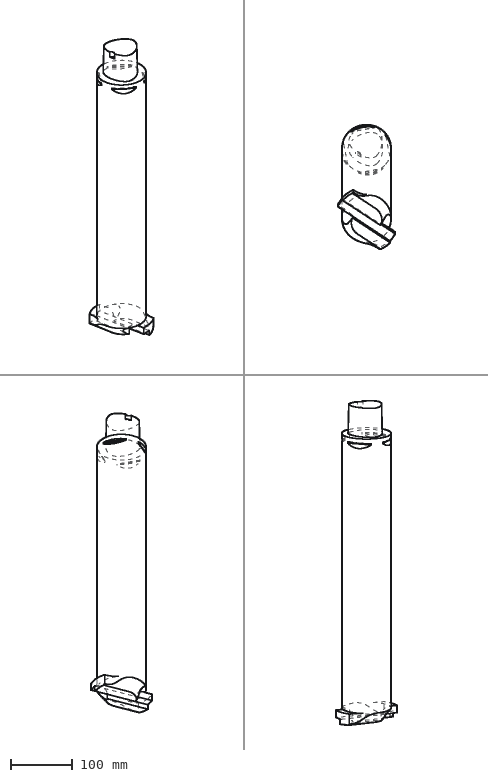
import cadquery as cq
import math

total_height = 526.0
shank_length = 48.0
shoulder_z = total_height - shank_length
body_diameter = 80.0
body_radius = body_diameter / 2

head_height = 22.0
head_half_span = 51.5
slot_half_width = 7.5
slot_depth = 10.0
wing_outer_y = 27.5
wing_tip_radius = math.hypot(head_half_span, slot_half_width)
flank_end_y = 26.0
flank_end_z = 3.0
short_side_lift = 1.5
wing_blend_x = 22.5

pocket_x = 22.0
pocket_arc_radius = 13.0

shank_base_radius = 28.0
shank_top_radius = 27.0
lobe_height = 2.0
shank_outline_points = 36
notch_radius = 6.0
notch_height = 9.0
notch_inset = 3.0

grip_count = 4
grip_top_offset = 8.0
grip_bottom_offset = 16.5
grip_inner_wall = 2.0
grip_depth = 5.0

clearance = 10.5


def half_turn(shape):
    """Rotate a shape by 180 degrees about the part axis."""
    return shape.rotate((0, 0, 0), (0, 0, 1), 180)


def shank_section(mean_radius):
    """Rounded three-lobed outline, one lobe on +Y, given by its support function."""
    points = []
    for i in range(shank_outline_points):
        angle = 2 * math.pi * i / shank_outline_points
        support = mean_radius - lobe_height * math.sin(3 * angle)
        slope = -3 * lobe_height * math.cos(3 * angle)
        x = support * math.cos(angle) - slope * math.sin(angle)
        y = support * math.sin(angle) + slope * math.cos(angle)
        points.append((x, y))
    return points


def make_shank():
    shank = (
        cq.Workplane("XY", origin=(0, 0, shoulder_z))
        .spline(shank_section(shank_base_radius), periodic=True).close()
        .workplane(offset=shank_length)
        .spline(shank_section(shank_top_radius), periodic=True).close()
        .loft(combine=True)
    )
    flat_y = -(shank_top_radius - lobe_height)
    notch_center_y = flat_y + notch_inset - notch_radius
    notch = (
        cq.Workplane("XY", origin=(0, notch_center_y, total_height - notch_height))
        .circle(notch_radius)
        .extrude(notch_height + clearance)
    )
    return shank.cut(notch)


def make_wing():
    """Wing on +X with a tip that is flat, then arced, and a blend tangent to the body."""
    blend_y = math.sqrt(body_radius**2 - wing_blend_x**2)
    body_tangent_angle = math.atan2(wing_blend_x, blend_y)
    wall_inner_x = wing_blend_x + (blend_y - wing_outer_y) / math.tan(body_tangent_angle / 2)
    tip_corner_x = math.sqrt(wing_tip_radius**2 - wing_outer_y**2)
    arc_start_angle = math.atan2(slot_half_width, head_half_span)
    arc_end_angle = math.atan2(wing_outer_y, tip_corner_x)
    tip_angle = (arc_start_angle + arc_end_angle) / 2
    tip_middle = (wing_tip_radius * math.cos(tip_angle), wing_tip_radius * math.sin(tip_angle))
    return (
        cq.Workplane("XY")
        .moveTo(0, -slot_half_width)
        .lineTo(head_half_span, -slot_half_width)
        .lineTo(head_half_span, slot_half_width)
        .threePointArc(tip_middle, (tip_corner_x, wing_outer_y))
        .lineTo(wall_inner_x, wing_outer_y)
        .tangentArcPoint((wing_blend_x, blend_y), relative=False)
        .lineTo(0, blend_y)
        .close()
        .extrude(head_height)
    )


def make_flank_envelope():
    """Prism along X whose sloping sides shape the flanks of the head."""
    return (
        cq.Workplane("YZ")
        .polyline([
            (-body_radius, head_height),
            (-flank_end_y, flank_end_z),
            (-slot_half_width, 0),
            (slot_half_width, short_side_lift),
            (flank_end_y, flank_end_z),
            (body_radius, head_height),
        ])
        .close()
        .extrude(head_half_span + clearance, both=True)
    )


def make_flank_cone_cutter():
    """Removes the stock outside a cone in the quadrant +X, -Y."""
    bottom_radius = flank_end_y - flank_end_z * (body_radius - flank_end_y) / (head_height - flank_end_z)
    cone = (
        cq.Workplane("XZ")
        .polyline([(0, 0), (bottom_radius, 0), (body_radius, head_height), (0, head_height)])
        .close()
        .revolve(360, (0, 0, 0), (0, 1, 0))
    )
    width = body_radius + clearance
    quadrant = (
        cq.Workplane("XY", origin=(0, -slot_half_width, 0))
        .rect(width, -width, centered=False)
        .extrude(head_height)
    )
    return quadrant.cut(cone)


def make_chip_pocket():
    """Pocket in the quadrant +X, -Y with a wall that curves outward at the top."""
    arc_start_z = head_height - pocket_arc_radius
    outer_x = head_half_span + clearance
    return (
        cq.Workplane("XZ", origin=(0, -slot_half_width, 0))
        .moveTo(pocket_x, -clearance)
        .lineTo(pocket_x, arc_start_z)
        .radiusArc((pocket_x + pocket_arc_radius, head_height), pocket_arc_radius)
        .lineTo(outer_x, head_height)
        .lineTo(outer_x, -clearance)
        .close()
        .extrude(body_radius + clearance)
    )


def make_head():
    wing = make_wing()
    core = cq.Workplane("XY").circle(body_radius).extrude(head_height)
    head = core.union(wing).union(half_turn(wing)).intersect(make_flank_envelope())
    for cutter in (make_flank_cone_cutter(), make_chip_pocket()):
        head = head.cut(cutter).cut(half_turn(cutter))
    slot = cq.Workplane("XY").box(
        2 * (head_half_span + clearance), 2 * slot_half_width, slot_depth,
        centered=(True, True, False),
    )
    return head.cut(slot)


def make_grip_notch(angle):
    """Straight notch with a flat ceiling and a floor sloping down and outward."""
    inner_x = body_radius - grip_depth
    outer_x = body_radius
    top_z = shoulder_z - grip_top_offset
    notch = (
        cq.Workplane("XZ")
        .polyline([
            (inner_x, top_z),
            (outer_x, top_z),
            (outer_x, shoulder_z - grip_bottom_offset),
            (inner_x, top_z - grip_inner_wall),
        ])
        .close()
        .extrude(body_radius, both=True)
    )
    return notch.rotate((0, 0, 0), (0, 0, 1), angle)


body = (
    cq.Workplane("XY", origin=(0, 0, head_height))
    .circle(body_radius)
    .extrude(shoulder_z - head_height)
)
grip_spacing = 360 / grip_count
for i in range(grip_count):
    body = body.cut(make_grip_notch(grip_spacing * (i + 0.5)))

result = body.union(make_head()).union(make_shank())